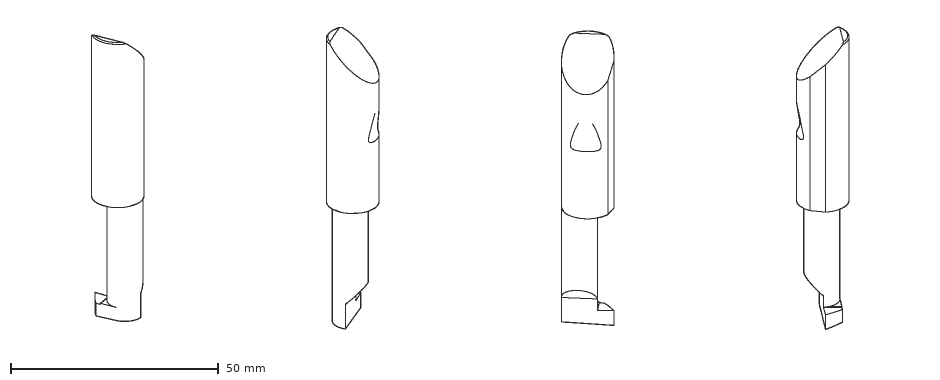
import cadquery as cq
import math


SHANK_DIAMETER = 12.7
TOTAL_LENGTH = 76.2
NECK_LENGTH = 31.75
CUTTING_PLANE_Y = 0.1

END_CHAMFER = 0.35
BEVEL_ANGLE = 45.0
END_LAND_WIDTH = 1.8
SIDE_FLAT_TURN = 34.5
NOTCH_DEPTH = 1.2
NOTCH_TOP_DROP = 17.5
NOTCH_BOTTOM_DROP = 26.3
NOTCH_SLOPE_LENGTH = 7.2
NOTCH_CORNER_RADIUS = 0.8

NECK_DIAMETER = 8.73
NECK_BEVEL_FOOT = 7.0

HEAD_HEIGHT = 4.0
HEAD_FRONT_RELIEF = 2.8
NOSE_RADIUS = 25.4
RELIEF_ANGLE = 2.3
SIDE_RELIEF_ANGLE = 1.7

SHANK_RADIUS = SHANK_DIAMETER / 2
NECK_RADIUS = NECK_DIAMETER / 2
NECK_CENTER_X = SHANK_RADIUS - NECK_RADIUS
NECK_LEFT_X = NECK_CENTER_X - NECK_RADIUS
TIP_X = -math.sqrt(SHANK_RADIUS**2 - CUTTING_PLANE_Y**2)
RELIEF_SLOPE = math.tan(math.radians(RELIEF_ANGLE))
SIDE_RELIEF_SLOPE = math.tan(math.radians(SIDE_RELIEF_ANGLE))
CLEAR = 2 * SHANK_DIAMETER
BEVEL_RISE = CLEAR * math.tan(math.radians(BEVEL_ANGLE))


def side_profile(points):
    """Extrude an outline of (y, z) points right across the part along X."""
    return cq.Workplane("YZ").polyline(points).close().extrude(CLEAR, both=True)


def make_shank():
    shank = (
        cq.Workplane("XY")
        .workplane(offset=NECK_LENGTH)
        .circle(SHANK_RADIUS)
        .extrude(TOTAL_LENGTH - NECK_LENGTH)
        .faces(">Z")
        .chamfer(END_CHAMFER)
    )
    return shank.cut(end_bevel()).cut(side_flat()).cut(clamping_notch())


def end_bevel():
    """Wedge above the sloping end of the shank."""
    start_y = END_LAND_WIDTH - SHANK_RADIUS
    return side_profile([
        (start_y, TOTAL_LENGTH),
        (start_y + CLEAR, TOTAL_LENGTH),
        (start_y + CLEAR, TOTAL_LENGTH - BEVEL_RISE),
    ])


def side_flat():
    """Block outside the flat whose lower edge lies in the cutting plane."""
    half_turn = SIDE_FLAT_TURN / 2
    edge_angle = math.degrees(math.asin(CUTTING_PLANE_Y / SHANK_RADIUS))
    flat_distance = SHANK_RADIUS * math.cos(math.radians(half_turn))
    return (
        cq.Workplane("XY")
        .box(CLEAR, CLEAR, TOTAL_LENGTH, centered=(False, True, False))
        .translate((flat_distance, 0, 0))
        .rotate((0, 0, 0), (0, 0, 1), 180 - edge_angle - half_turn)
    )


def clamping_notch():
    """Sloping notch across the +Y side of the shank with a rounded lower corner."""
    floor_y = SHANK_RADIUS - NOTCH_DEPTH
    top_z = TOTAL_LENGTH - NOTCH_TOP_DROP
    bottom_z = TOTAL_LENGTH - NOTCH_BOTTOM_DROP
    notch = side_profile([
        (SHANK_RADIUS, top_z),
        (floor_y, top_z - NOTCH_SLOPE_LENGTH),
        (floor_y, bottom_z),
        (SHANK_RADIUS, bottom_z),
    ])
    lower_corner = notch.edges("|X").edges("<Y").edges("<Z")
    return lower_corner.fillet(NOTCH_CORNER_RADIUS)


def make_neck():
    """Round neck, cut back to the cutting plane at its lower end."""
    neck = cq.Workplane("XY").center(NECK_CENTER_X, 0).circle(NECK_RADIUS).extrude(NECK_LENGTH)
    half_cut = side_profile([
        (CUTTING_PLANE_Y, 0),
        (CUTTING_PLANE_Y, NECK_BEVEL_FOOT),
        (CUTTING_PLANE_Y + CLEAR, NECK_BEVEL_FOOT + BEVEL_RISE),
        (CUTTING_PLANE_Y + CLEAR, 0),
    ])
    return neck.cut(half_cut)


def make_head():
    """Root block beside the neck plus the nose that carries the cutting edge."""
    root = (
        cq.Workplane("XY")
        .moveTo(NECK_LEFT_X, CUTTING_PLANE_Y)
        .lineTo(NECK_CENTER_X, CUTTING_PLANE_Y)
        .lineTo(NECK_CENTER_X, -NECK_RADIUS)
        .lineTo(NECK_LEFT_X, -NECK_RADIUS)
        .close()
        .extrude(HEAD_HEIGHT)
    )
    nose = (
        cq.Workplane("XY")
        .moveTo(TIP_X, CUTTING_PLANE_Y)
        .radiusArc((TIP_X + HEAD_FRONT_RELIEF, -NECK_RADIUS), -NOSE_RADIUS)
        .lineTo(NECK_LEFT_X, -NECK_RADIUS)
        .lineTo(NECK_LEFT_X, CUTTING_PLANE_Y)
        .close()
        .extrude(HEAD_HEIGHT)
    )
    return root.union(nose.cut(relief_block(HEAD_HEIGHT, 1)))


def relief_block(tip_height, side):
    """Block beyond the relief plane through the tip; side is 1 above it, -1 below it.

    Both planes lean towards the middle of the head away from the tip.
    """
    plane = cq.Plane(
        origin=(TIP_X, CUTTING_PLANE_Y, tip_height),
        xDir=(1, 0, -side * SIDE_RELIEF_SLOPE),
        normal=(side * SIDE_RELIEF_SLOPE, -side * RELIEF_SLOPE, 1),
    )
    return cq.Workplane(plane).rect(2 * CLEAR, 2 * CLEAR).extrude(side * CLEAR)


neck_and_head = make_neck().union(make_head()).cut(relief_block(0, -1))
result = make_shank().union(neck_and_head)